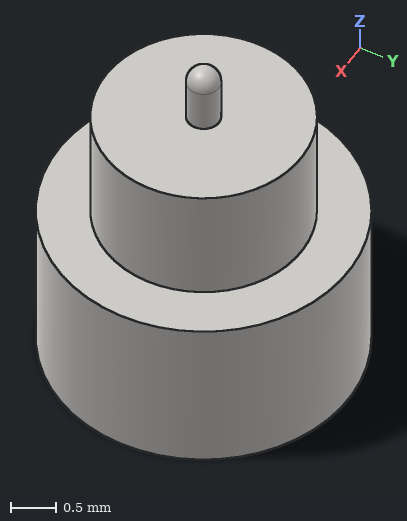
import cadquery as cq

total_height = 4.3
base_diameter = 3.7
base_height = 2.05
neck_diameter = 2.5
neck_height = 1.5
pin_diameter = 0.39

pin_radius = pin_diameter / 2
neck_top = base_height + neck_height
pin_straight_height = total_height - neck_top - pin_radius


def cylinder(diameter, height, bottom):
    """Upright cylinder on the Z axis, starting at the given height."""
    return cq.Workplane("XY").workplane(offset=bottom).circle(diameter / 2).extrude(height)


base = cylinder(base_diameter, base_height, 0)
neck = cylinder(neck_diameter, neck_height, base_height)

pin_shaft = cylinder(pin_diameter, pin_straight_height, neck_top)
pin_tip = cq.Workplane("XY").sphere(pin_radius).translate((0, 0, total_height - pin_radius))

result = base.union(neck).union(pin_shaft).union(pin_tip)